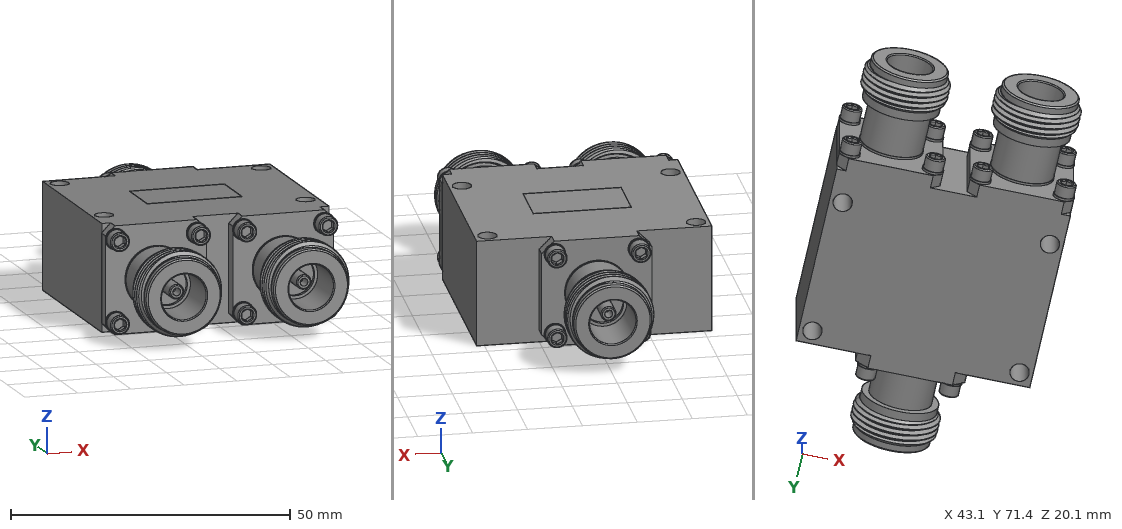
import cadquery as cq


body_width = 42.85
overall_length = 71.4
body_height = 20.05
body_length = 34.1
mount_hole_radius = 1.7
mount_hole_x = 19.0
mount_hole_ys = (-10.9, 14.6)
label_width = 17.85
label_length = 10.15
label_depth = 0.1

connector_height = (overall_length - body_length) / 2
output_spacing = 24.0
output_flange_width = 19.0
flange_thickness = 2.4
flange_corner = 2.3
barrel_radius = 5.8
barrel_lip_radius = 5.85
barrel_lip_height = 0.4
collar_radius = 7.1
collar_bottom = 10.7
collar_edge = 0.3

thread_radius = 7.9
thread_pitch = 1.1
thread_tooth_width = 1.0
thread_crest_width = 0.15
thread_root_embed = 0.1
thread_bottom = 12.3
thread_top = 17.2
thread_helix_start = 11.7
thread_turns = 6

bore_radius = 4.2
bore_depth = 9.3
bore_edge = 0.2
dielectric_radius = 3.65
dielectric_depth = 0.7
pin_radius = 1.35
pin_hole_radius = 0.7
pin_hole_depth = 2.85
pin_edge = 0.2
pin_recess = 4.3

screw_offset = 7.65
screw_radius = 1.8
screw_height = 2.8
screw_edge = 0.2
washer_radius = 1.9
washer_thickness = 0.4
socket_corner_radius = 1.15
socket_depth = 1.4
socket_mouth_radius = 1.2
socket_mouth_depth = 0.3


def cylinder(radius, bottom, top):
    """Cylinder about the Z axis between two heights."""
    return cq.Workplane("XY").workplane(offset=bottom).circle(radius).extrude(top - bottom)


def flare(bottom_radius, top_radius, bottom, top):
    """Truncated cone about the Z axis between two heights."""
    cone = cq.Solid.makeCone(bottom_radius, top_radius, top - bottom, cq.Vector(0, 0, bottom))
    return cq.Workplane("XY").add(cone)


def make_body():
    """Box centred on the origin with four mounting holes and a shallow label recess."""
    body = cq.Workplane("XY").box(body_width, body_length, body_height)
    hole_centres = [(x, y) for x in (-mount_hole_x, mount_hole_x) for y in mount_hole_ys]
    body = body.faces(">Z").workplane(origin=(0, 0, 0)).pushPoints(hole_centres).hole(2 * mount_hole_radius)
    label = cq.Workplane("XY").box(label_width, label_length, 2 * label_depth)
    return body.cut(label.translate((0, 0, body_height / 2)))


def make_thread():
    """Right-handed V thread whose ends run out on 45 degree cones."""
    root_radius = collar_radius - thread_root_embed
    helix = cq.Wire.makeHelix(thread_pitch, thread_turns * thread_pitch, root_radius)
    tooth = cq.Workplane("XZ").polyline([
        (root_radius, -thread_tooth_width / 2),
        (thread_radius, -thread_crest_width / 2),
        (thread_radius, thread_crest_width / 2),
        (root_radius, thread_tooth_width / 2),
    ]).close()
    ridge = tooth.sweep(cq.Workplane(helix), isFrenet=True).translate((0, 0, thread_helix_start))
    runout = thread_radius - root_radius
    envelope = (
        cylinder(thread_radius + thread_root_embed, thread_bottom, thread_top)
        .edges().chamfer(runout)
    )
    return ridge.intersect(envelope)


def make_screw():
    """Hexagon socket head with a washer, seated on the XY plane."""
    washer = cylinder(washer_radius, 0, washer_thickness)
    head = cylinder(screw_radius, 0, screw_height).faces(">Z").edges().chamfer(screw_edge)
    socket = (
        cq.Workplane("XY").workplane(offset=screw_height - socket_depth)
        .polygon(6, 2 * socket_corner_radius).extrude(socket_depth)
        .rotate((0, 0, 0), (0, 0, 1), 90)
    )
    countersink = flare(
        socket_mouth_radius - socket_mouth_depth, socket_mouth_radius,
        screw_height - socket_mouth_depth, screw_height,
    )
    return washer.union(head).cut(socket).cut(countersink)


def make_bore():
    """Stepped bore around the centre pin, as the volume to remove."""
    floor = connector_height - bore_depth
    pin_top = connector_height - pin_recess
    mouth = flare(bore_radius, bore_radius + bore_edge, connector_height - bore_edge, connector_height)
    bore = cylinder(bore_radius, floor, connector_height).union(mouth)
    bore = bore.union(cylinder(dielectric_radius, floor - dielectric_depth, floor))
    pin = cylinder(pin_radius, floor - dielectric_depth, pin_top).faces(">Z").edges().chamfer(pin_edge)
    pin = pin.cut(cylinder(pin_hole_radius, pin_top - pin_hole_depth, pin_top))
    return bore.cut(pin)


def make_connector(flange_width):
    """Connector standing on the XY plane with its axis along +Z."""
    flange = (
        cq.Workplane("XY").rect(body_height, body_height).extrude(flange_thickness)
        .edges("|Z").chamfer(flange_corner)
    )
    flange = flange.intersect(cq.Workplane("XY").box(flange_width, body_height, 2 * flange_thickness))
    lip = cylinder(barrel_lip_radius, 0, flange_thickness + barrel_lip_height)
    barrel = cylinder(barrel_radius, 0, collar_bottom)
    collar = cylinder(collar_radius, collar_bottom, connector_height).faces(">Z").edges().chamfer(collar_edge)
    connector = flange.union(lip).union(barrel).union(collar).union(make_thread())
    connector = connector.cut(make_bore())
    screw = make_screw()
    for x in (-screw_offset, screw_offset):
        for y in (-screw_offset, screw_offset):
            connector = connector.union(screw.translate((x, y, flange_thickness)))
    return connector


def face_front(connector, x):
    """Turn a connector to point along -Y and seat it on the -Y body face."""
    return connector.rotate((0, 0, 0), (1, 0, 0), 90).translate((x, -body_length / 2, 0))


output_connector = make_connector(output_flange_width)
input_connector = make_connector(body_height)

result = make_body()
for output_x in (-output_spacing / 2, output_spacing / 2):
    result = result.union(face_front(output_connector, output_x))
result = result.union(face_front(input_connector, 0).rotate((0, 0, 0), (0, 0, 1), 180))